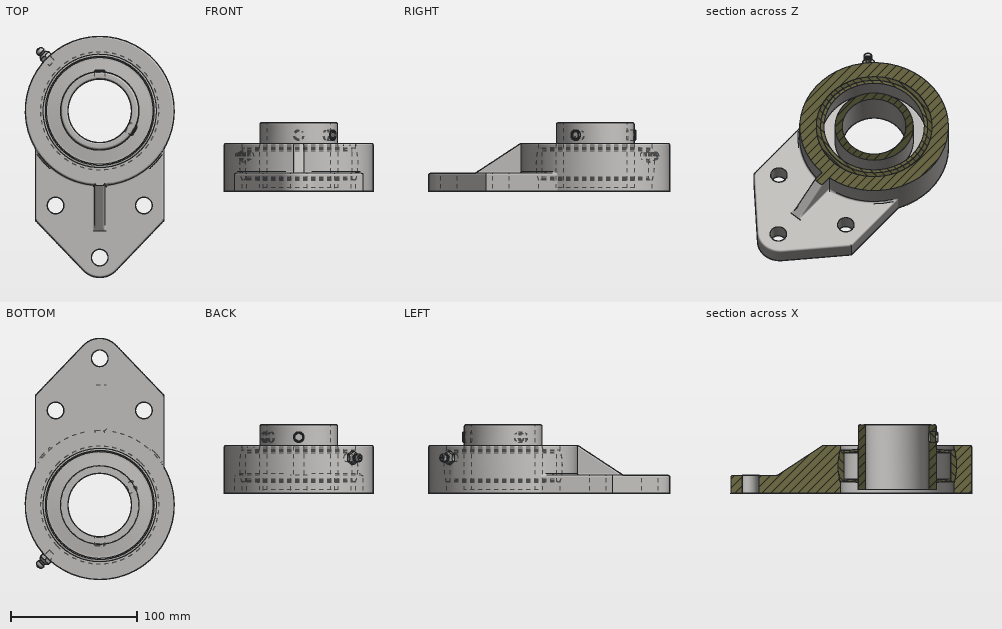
import cadquery as cq
import math

HOUSING_R = 59.0
HOUSING_H = 38.0
HOUSING_EDGE_R = 1.5
FLANGE_H = 14.3
FLANGE_HALF_W = 51.0
FLANGE_CORNER_Y = -86.7
TOTAL_LENGTH = 191.0
FLANGE_TIP_Y = HOUSING_R - TOTAL_LENGTH
FLANGE_TIP_R = 18.0
FLANGE_EDGE_R = 1.5
BOLT_HOLE_D = 13.0
SIDE_BOLT_X = 35.0
SIDE_BOLT_Y = -74.9
TIP_BOLT_Y = -116.1
RIB_W = 8.0
RIB_TOE_Y = -95.1
RIB_EDGE_R = 1.5
RIB_START_R = 47.8
ROOT_R = 1.3

BEARING_Z = 21.8
SEAT_R = 93.8 / 2
HOUSING_BORE_R = 89.8 / 2
OUTER_RING_HALF_H = 12.6
OUTER_RING_BORE_R = 42.2
OUTER_RING_EDGE_R = 1.5
OUTER_RING_CHAMFER = 1.0
SEAL_RIM_R = 81.4 / 2
SEAL_RIM_DROP = 0.4
SEAL_CONE_RISE = 1.0
SEAL_T = 2.0
SHOULDER_R = 62.3 / 2
COLLAR_R = 61.7 / 2
SHOULDER_TOP_Z = 36.7
INNER_RING_BOTTOM_Z = 2.9
INNER_RING_TOP_Z = 54.5
INNER_RING_BORE_R = 50.0 / 2
COLLAR_EDGE_R = 1.7
BORE_EDGE_R = 1.5

SCREW_D = 8.4
SCREW_Z = 44.5
SCREW_ANGLES = (90, -30)
SCREW_INNER_R = 25.8
SCREW_OUTER_R = 32.3
SCREW_CHAMFER = 0.8
SOCKET_FLATS = 5.7
SOCKET_DEPTH = 2.0

NIPPLE_ANGLE = 135
NIPPLE_Z = 28.0
NIPPLE_STEM_R = 6.0 / 2
NIPPLE_STEM_L = 5.7
NIPPLE_HEX_FLATS = 9.2
NIPPLE_HEX_H = 3.2
NIPPLE_CONE_BASE_R = 8.4 / 2
NIPPLE_CONE_TOP_R = 3.0
NIPPLE_CONE_H = 1.5
NIPPLE_NECK_R = 2.5
NIPPLE_NECK_H = 1.3
NIPPLE_HEAD_R = 3.2
NIPPLE_HEAD_BEVEL_H = 0.4
NIPPLE_HEAD_BAND_H = 1.1
NIPPLE_HEAD_DOME_H = 2.1
NIPPLE_TIP_R = 2.3
NIPPLE_NUB_R = 1.5 / 2
NIPPLE_NUB_H = 0.5


def hexagon_diameter(across_flats):
    """Corner-to-corner size of a hexagon."""
    return across_flats / math.cos(math.radians(30))


def radial_plane(angle, distance, z):
    """Plane whose normal points straight away from the bearing axis and whose local Y is up."""
    a = math.radians(angle)
    out = (math.cos(a), math.sin(a), 0)
    sideways = (-math.sin(a), math.cos(a), 0)
    return cq.Plane(origin=(distance * out[0], distance * out[1], z), xDir=sideways, normal=out)


def flange():
    """Plate from the bearing axis to a rounded tip, its upper edge rounded."""
    tip_centre_y = FLANGE_TIP_Y + FLANGE_TIP_R
    dx = FLANGE_HALF_W
    dy = FLANGE_CORNER_Y - tip_centre_y
    angle = math.atan2(dy, dx) - math.acos(FLANGE_TIP_R / math.hypot(dx, dy))
    tangent_x = FLANGE_TIP_R * math.cos(angle)
    tangent_y = tip_centre_y + FLANGE_TIP_R * math.sin(angle)
    plate = (
        cq.Workplane("XY")
        .moveTo(FLANGE_HALF_W, 0)
        .lineTo(FLANGE_HALF_W, FLANGE_CORNER_Y)
        .lineTo(tangent_x, tangent_y)
        .threePointArc((0, FLANGE_TIP_Y), (-tangent_x, tangent_y))
        .lineTo(-FLANGE_HALF_W, FLANGE_CORNER_Y)
        .lineTo(-FLANGE_HALF_W, 0)
        .close()
        .extrude(FLANGE_H)
    )
    return plate.faces(">Z").edges("not >Y").fillet(FLANGE_EDGE_R)


def rib():
    """Sloping wedge from the upper rim of the boss down to the flange."""
    return (
        cq.Workplane("YZ")
        .moveTo(-RIB_START_R, 0)
        .lineTo(-RIB_START_R, HOUSING_H)
        .lineTo(-HOUSING_R, HOUSING_H)
        .lineTo(RIB_TOE_Y, FLANGE_H)
        .lineTo(RIB_TOE_Y, 0)
        .close()
        .extrude(RIB_W / 2, both=True)
    )


def bearing_seat():
    """Bore through the boss, widened to the sphere that the outer ring swivels in."""
    bore = cq.Workplane("XY").circle(HOUSING_BORE_R).extrude(HOUSING_H)
    sphere = cq.Workplane("XY").sphere(SEAT_R).translate((0, 0, BEARING_Z))
    slab = cq.Workplane("XY").circle(HOUSING_R).extrude(HOUSING_H)
    return bore.union(sphere.intersect(slab))


def bolt_holes():
    """Two holes beside the rib and one near the tip."""
    places = [(-SIDE_BOLT_X, SIDE_BOLT_Y), (SIDE_BOLT_X, SIDE_BOLT_Y), (0, TIP_BOLT_Y)]
    return cq.Workplane("XY").pushPoints(places).circle(BOLT_HOLE_D / 2).extrude(FLANGE_H)


def make_housing():
    """Boss, flange and rib in one casting, with the bearing seat and all holes cut."""
    boss = cq.Workplane("XY").circle(HOUSING_R).extrude(HOUSING_H).faces(">Z").edges().fillet(HOUSING_EDGE_R)
    body = flange().union(boss).union(rib())
    inset_x = FLANGE_HALF_W - 2 * FLANGE_EDGE_R
    root_box = cq.selectors.BoxSelector(
        (-inset_x, RIB_TOE_Y + ROOT_R, FLANGE_H - ROOT_R / 2),
        (inset_x, -RIB_START_R / 2, FLANGE_H + ROOT_R / 2),
    )
    body = body.edges(root_box).fillet(ROOT_R)
    slope_middle = (0, (RIB_TOE_Y - HOUSING_R) / 2, (HOUSING_H + FLANGE_H) / 2)
    slope = body.faces(cq.NearestToPointSelector(slope_middle))
    long_edges = cq.Workplane(slope.val()).edges("not |X").edges("%LINE")
    body = body.newObject(long_edges.vals()).fillet(RIB_EDGE_R)
    return body.cut(bearing_seat()).cut(bolt_holes()).cut(on_wall(nipple_stem()))


def make_outer_ring():
    """Ring with a spherical outside and a plain bore."""
    half_h = OUTER_RING_HALF_H
    face_r = math.sqrt(SEAT_R**2 - half_h**2)
    ring = (
        cq.Workplane("XZ")
        .moveTo(OUTER_RING_BORE_R, -half_h)
        .lineTo(face_r, -half_h)
        .threePointArc((SEAT_R, 0), (face_r, half_h))
        .lineTo(OUTER_RING_BORE_R, half_h)
        .close()
        .revolve(360, (0, 0, 0), (0, 1, 0))
    )
    outer_rims = cq.selectors.RadiusNthSelector(-1)
    ring = ring.faces("<Z or >Z").edges(outer_rims).fillet(OUTER_RING_EDGE_R)
    bore_rims = cq.selectors.RadiusNthSelector(0)
    ring = ring.faces("<Z or >Z").edges(bore_rims).chamfer(OUTER_RING_CHAMFER)
    return ring.translate((0, 0, BEARING_Z))


def make_seal(side):
    """Dished washer between the rings; side is +1 for the upper seal and -1 for the lower one."""
    rim_z = side * (OUTER_RING_HALF_H - SEAL_RIM_DROP)
    lip_z = rim_z + side * SEAL_CONE_RISE
    seal = (
        cq.Workplane("XZ")
        .moveTo(OUTER_RING_BORE_R, rim_z)
        .lineTo(SEAL_RIM_R, rim_z)
        .lineTo(SHOULDER_R, lip_z)
        .lineTo(SHOULDER_R, lip_z - side * SEAL_T)
        .lineTo(SEAL_RIM_R, rim_z - side * SEAL_T)
        .lineTo(OUTER_RING_BORE_R, rim_z - side * SEAL_T)
        .close()
        .revolve(360, (0, 0, 0), (0, 1, 0))
    )
    return seal.translate((0, 0, BEARING_Z))


def screw_blank(angle):
    """Plain cylinder filled by one set screw."""
    plane = radial_plane(angle, SCREW_INNER_R, SCREW_Z)
    return cq.Workplane(plane).circle(SCREW_D / 2).extrude(SCREW_OUTER_R - SCREW_INNER_R)


def make_set_screw(angle):
    """Headless screw with a chamfered outer end and a hexagon socket."""
    screw = screw_blank(angle)
    end = radial_plane(angle, SCREW_OUTER_R, SCREW_Z)
    outer_rim = cq.NearestToPointSelector(end.origin.toTuple())
    screw = screw.faces(outer_rim).edges().chamfer(SCREW_CHAMFER)
    socket = (
        cq.Workplane(end)
        .transformed(rotate=(0, 0, 90))
        .polygon(6, hexagon_diameter(SOCKET_FLATS))
        .extrude(-SOCKET_DEPTH)
    )
    return screw.cut(socket)


def make_inner_ring():
    """Long sleeve with a slightly thicker shoulder, cross-drilled for the set screws."""
    shoulder = (
        cq.Workplane("XY", origin=(0, 0, INNER_RING_BOTTOM_Z))
        .circle(SHOULDER_R)
        .extrude(SHOULDER_TOP_Z - INNER_RING_BOTTOM_Z)
    )
    collar = (
        cq.Workplane("XY", origin=(0, 0, SHOULDER_TOP_Z))
        .circle(COLLAR_R)
        .extrude(INNER_RING_TOP_Z - SHOULDER_TOP_Z)
        .faces(">Z")
        .edges()
        .fillet(COLLAR_EDGE_R)
    )
    bore = cq.Workplane("XY").circle(INNER_RING_BORE_R).extrude(INNER_RING_TOP_Z)
    ring = shoulder.union(collar).cut(bore)
    ring = ring.faces(">Z").edges(cq.selectors.RadiusNthSelector(0)).fillet(BORE_EDGE_R)
    for angle in SCREW_ANGLES:
        hole = cq.Workplane(radial_plane(angle, 0, SCREW_Z)).circle(SCREW_D / 2).extrude(SHOULDER_R)
        ring = ring.cut(hole)
    return ring


def on_wall(upright):
    """Lay an upright nipple shape radially onto the housing wall."""
    wall = radial_plane(NIPPLE_ANGLE, HOUSING_R, NIPPLE_Z)
    return cq.Workplane(upright.val().located(cq.Location(wall)))


def nipple_stem():
    """Part of the nipple that sits inside the housing wall."""
    return cq.Workplane("XY").circle(NIPPLE_STEM_R).extrude(-NIPPLE_STEM_L)


def nipple_hexagon():
    """Hexagon base, its outer corners bevelled at 45 degrees."""
    corner_r = hexagon_diameter(NIPPLE_HEX_FLATS) / 2
    hexagon = (
        cq.Workplane("XY")
        .polygon(6, 2 * corner_r)
        .extrude(NIPPLE_HEX_H)
        .rotate((0, 0, 0), (0, 0, 1), 90)
    )
    bevel_h = corner_r - NIPPLE_CONE_BASE_R
    envelope = (
        cq.Workplane("XY")
        .circle(corner_r)
        .extrude(NIPPLE_HEX_H)
        .faces(">Z")
        .chamfer(bevel_h)
    )
    return hexagon.intersect(envelope)


def nipple_head():
    """Turned part beyond the hexagon: cone, neck, domed head and a small nub at the tip."""
    cone_top = NIPPLE_HEX_H + NIPPLE_CONE_H
    neck_top = cone_top + NIPPLE_NECK_H
    band_start = neck_top + NIPPLE_HEAD_BEVEL_H
    band_end = band_start + NIPPLE_HEAD_BAND_H
    tip = band_end + NIPPLE_HEAD_DOME_H
    nub_end = tip + NIPPLE_NUB_H
    return (
        cq.Workplane("XZ")
        .moveTo(0, NIPPLE_HEX_H)
        .lineTo(NIPPLE_CONE_BASE_R, NIPPLE_HEX_H)
        .lineTo(NIPPLE_CONE_TOP_R, cone_top)
        .lineTo(NIPPLE_NECK_R, cone_top)
        .lineTo(NIPPLE_NECK_R, neck_top)
        .lineTo(NIPPLE_HEAD_R, band_start)
        .lineTo(NIPPLE_HEAD_R, band_end)
        .tangentArcPoint((NIPPLE_TIP_R, tip), relative=False)
        .lineTo(NIPPLE_NUB_R, tip)
        .lineTo(NIPPLE_NUB_R, nub_end)
        .lineTo(0, nub_end)
        .close()
        .revolve(360, (0, 0, 0), (0, 1, 0))
    )


def make_grease_nipple():
    """Stem, hexagon and head joined along one axis."""
    return on_wall(nipple_stem().union(nipple_hexagon()).union(nipple_head()))


housing = make_housing()
outer_ring = make_outer_ring()
inner_ring = make_inner_ring()
seals = [make_seal(side) for side in (1, -1)]
set_screws = [make_set_screw(angle) for angle in SCREW_ANGLES]
grease_nipple = make_grease_nipple()

result = cq.Compound.makeCompound(
    [
        housing.val(),
        outer_ring.val(),
        inner_ring.val(),
        *[seal.val() for seal in seals],
        *[screw.val() for screw in set_screws],
        grease_nipple.val(),
    ]
)